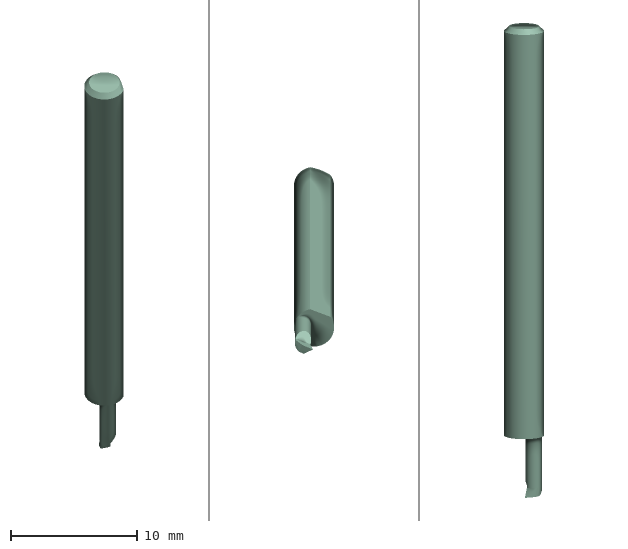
import cadquery as cq
import math


overall_length = 38.1
shank_diameter = 3.175
shank_radius = shank_diameter / 2
shank_chamfer = 0.38
flat_to_back = 2.92
flat_y = flat_to_back - shank_radius

neck_length = 5.08
neck_diameter = 1.30
neck_radius = neck_diameter / 2
neck_x = shank_radius - neck_radius
neck_left_x = neck_x - neck_radius

head_height = 0.80
tip_x = 0.08
side_relief_run = 0.50
end_slope = 5.0
end_relief = 6.0
ramp_end_height = 1.0
heel_cut = 0.68

cutter_size = 4 * neck_diameter


def make_shank():
    """Round bar with a chamfered top and one flat along its +Y side."""
    bar = (
        cq.Workplane("XY")
        .workplane(offset=neck_length)
        .circle(shank_radius)
        .extrude(overall_length - neck_length)
        .faces(">Z")
        .chamfer(shank_chamfer)
    )
    keep = (
        cq.Workplane("XY")
        .box(shank_diameter, flat_to_back, overall_length, centered=(True, False, False))
        .translate((0, flat_y - flat_to_back, 0))
    )
    return bar.intersect(keep)


def make_neck():
    """Eccentric round neck, ramped down to the rake face and cleared for the head."""
    neck = cq.Workplane("XY").center(neck_x, 0).circle(neck_radius).extrude(neck_length)
    ramp_cut = (
        cq.Workplane("YZ")
        .workplane(offset=neck_x)
        .polyline(
            [
                (0, 0),
                (0, ramp_end_height),
                (neck_diameter, ramp_end_height + neck_diameter),
                (neck_diameter, 0),
            ]
        )
        .close()
        .extrude(cutter_size / 2, both=True)
    )
    head_clearance = (
        cq.Workplane("XY")
        .box(neck_diameter, neck_diameter, head_height, centered=(False, True, False))
        .translate((neck_x - neck_diameter, 0, 0))
    )
    return neck.cut(ramp_cut).cut(head_clearance)


def head_profile(shift):
    """XZ outline of the head with its slanted side edge moved along +X by shift."""
    return [
        (tip_x + shift, 0),
        (neck_left_x + shift, head_height),
        (neck_x, head_height),
        (neck_x, 0),
    ]


def make_head():
    """Cutting head: its side face leans back from the rake face at y = 0 towards -Y."""
    return (
        cq.Workplane("XZ")
        .polyline(head_profile(0))
        .close()
        .workplane(offset=neck_radius)
        .polyline(head_profile(side_relief_run))
        .close()
        .loft(ruled=True)
    )


def make_end_cut():
    """Block below the end face, which rises from the point along +X and towards -Y."""
    rise_along_x = math.tan(math.radians(end_slope))
    rise_towards_minus_y = math.tan(math.radians(end_relief))
    end_plane = cq.Plane(
        origin=(tip_x, 0, 0),
        xDir=(0, 1, -rise_towards_minus_y),
        normal=(-rise_along_x, rise_towards_minus_y, 1),
    )
    return cq.Workplane(end_plane).rect(cutter_size, cutter_size).extrude(-neck_diameter)


def make_heel_cut():
    """Triangular prism that takes the 45 degree corner off the +X side of the tip."""
    return (
        cq.Workplane("XZ")
        .polyline([(shank_radius - heel_cut, 0), (shank_radius, heel_cut), (shank_radius, 0)])
        .close()
        .extrude(cutter_size / 2, both=True)
    )


tip = make_neck().union(make_head()).cut(make_end_cut()).cut(make_heel_cut())
result = make_shank().union(tip)